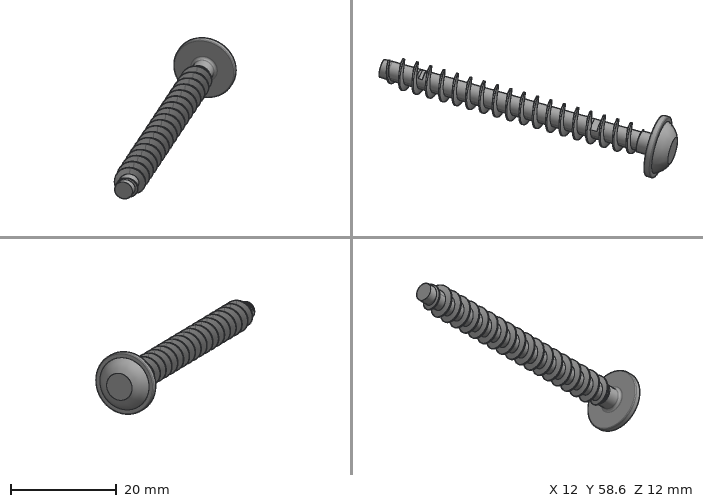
import cadquery as cq
import math

LENGTH = 58.6

FLANGE_DIAMETER = 12.0
FLANGE_RADIUS = FLANGE_DIAMETER / 2
FLANGE_TOP_DEPTH = 2.35
FLANGE_THICKNESS = 1.3
FLANGE_EDGE_ROUND = 0.2
DOME_BASE_RADIUS = 5.1
DOME_TOP_RADIUS = 2.65
DOME_BULGE = 0.25

SHANK_DIAMETER = 4.15
SHANK_RADIUS = SHANK_DIAMETER / 2
SHANK_END_DEPTH = 6.6
NECK_FILLET = 0.5
CORE_RADIUS = 1.8
TIP_RADIUS = 1.75
TIP_TAPER_LENGTH = 1.75

PITCH = 2.7
THREAD_RADIUS = 3.0
PHASE_DEPTH = 10.85
CREST_WIDTH = 0.3
ROOT_WIDTH = 0.8
THREAD_INNER_RADIUS = 1.0
THREAD_START_DEPTH = 6.0
THREAD_END_DEPTH = 58.0
START_RADIUS = 2.15
END_RADIUS = 1.75
LEAD_IN_LENGTH = 2.8
LEAD_OUT_LENGTH = 3.4
STEPS_PER_SPAN = 24

UPPER_RECESS_START = 14.75
UPPER_RECESS_FLAT_END = 16.3
UPPER_RECESS_FLOOR = 1.1
LOWER_RECESS_START = 50.1
LOWER_RECESS_FLAT_END = 50.85
LOWER_RECESS_FLOOR = 1.4


def make_body():
    """Revolve the head, shank and core as one outline."""
    flange_bottom = FLANGE_TOP_DEPTH + FLANGE_THICKNESS
    dome_middle = ((DOME_TOP_RADIUS + DOME_BASE_RADIUS) / 2 + DOME_BULGE,
                   -FLANGE_TOP_DEPTH / 2 + DOME_BULGE)
    neck_center = (SHANK_RADIUS + NECK_FILLET, -flange_bottom - NECK_FILLET)
    diagonal = NECK_FILLET * math.sqrt(0.5)
    return (
        cq.Workplane("XY")
        .moveTo(0, 0)
        .lineTo(DOME_TOP_RADIUS, 0)
        .threePointArc(dome_middle, (DOME_BASE_RADIUS, -FLANGE_TOP_DEPTH))
        .lineTo(FLANGE_RADIUS - FLANGE_EDGE_ROUND, -FLANGE_TOP_DEPTH)
        .radiusArc((FLANGE_RADIUS, -FLANGE_TOP_DEPTH - FLANGE_EDGE_ROUND), FLANGE_EDGE_ROUND)
        .lineTo(FLANGE_RADIUS, -flange_bottom + FLANGE_EDGE_ROUND)
        .radiusArc((FLANGE_RADIUS - FLANGE_EDGE_ROUND, -flange_bottom), FLANGE_EDGE_ROUND)
        .lineTo(neck_center[0], -flange_bottom)
        .threePointArc((neck_center[0] - diagonal, neck_center[1] + diagonal),
                       (SHANK_RADIUS, neck_center[1]))
        .lineTo(SHANK_RADIUS, -SHANK_END_DEPTH)
        .lineTo(CORE_RADIUS, -SHANK_END_DEPTH)
        .lineTo(CORE_RADIUS, -LENGTH + TIP_TAPER_LENGTH)
        .lineTo(TIP_RADIUS, -LENGTH)
        .lineTo(0, -LENGTH)
        .close()
        .revolve(360, (0, 0, 0), (0, 1, 0))
    )


def make_recess(start, flat_end, floor):
    """Cutter with a flat floor and a 45 degree ramp out toward the tip."""
    top = SHANK_RADIUS
    ramp_end = flat_end + top - floor
    return (
        cq.Workplane("YZ")
        .polyline([(-start, floor), (-flat_end, floor), (-ramp_end, top), (-start, top)])
        .close()
        .extrude(SHANK_RADIUS, both=True)
    )


def crest_radius(depth):
    """Thread radius, growing over the lead-in and shrinking over the lead-out."""
    lead_in = START_RADIUS + (THREAD_RADIUS - START_RADIUS) * (depth - THREAD_START_DEPTH) / LEAD_IN_LENGTH
    lead_out = END_RADIUS + (THREAD_RADIUS - END_RADIUS) * (THREAD_END_DEPTH - depth) / LEAD_OUT_LENGTH
    return min(lead_in, THREAD_RADIUS, lead_out)


def buried_radius(_depth):
    """Radius of the inner thread edge, the same at every depth."""
    return THREAD_INNER_RADIUS


def helix_edge(radius_at, axial_offset, start, end):
    """Spline along the thread between two depths, shifted along the axis by axial_offset."""
    points = []
    for step in range(STEPS_PER_SPAN + 1):
        depth = start + (end - start) * step / STEPS_PER_SPAN
        angle = 2 * math.pi * (depth - PHASE_DEPTH) / PITCH
        radius = radius_at(depth)
        points.append(cq.Vector(radius * math.cos(angle), -depth - axial_offset, radius * math.sin(angle)))
    return cq.Edge.makeSpline(points)


def thread_spans():
    """Depths that split the thread into the lead-in, about one span per turn, and the lead-out."""
    full_start = THREAD_START_DEPTH + LEAD_IN_LENGTH
    full_end = THREAD_END_DEPTH - LEAD_OUT_LENGTH
    turns = round((full_end - full_start) / PITCH)
    full_depths = [full_start + (full_end - full_start) * turn / turns for turn in range(turns + 1)]
    return [THREAD_START_DEPTH] + full_depths + [THREAD_END_DEPTH]


def make_thread():
    """Join helical faces and two end caps into a solid with a trapezoidal section."""
    flank_slope = (ROOT_WIDTH - CREST_WIDTH) / (THREAD_RADIUS - CORE_RADIUS)
    inner_width = CREST_WIDTH + flank_slope * (THREAD_RADIUS - THREAD_INNER_RADIUS)
    corners = [
        (buried_radius, -inner_width / 2),
        (crest_radius, -CREST_WIDTH / 2),
        (crest_radius, CREST_WIDTH / 2),
        (buried_radius, inner_width / 2),
    ]
    depths = thread_spans()
    faces = []
    caps = []
    for start, end in zip(depths, depths[1:]):
        edges = [helix_edge(radius_at, offset, start, end) for radius_at, offset in corners]
        faces += [cq.Face.makeRuledSurface(edges[i - 1], edges[i]) for i in range(len(edges))]
        caps.append([edge.startPoint() for edge in edges])
        caps.append([edge.endPoint() for edge in edges])
    for cap in (caps[0], caps[-1]):
        faces.append(cq.Face.makeFromWires(cq.Wire.makePolygon(cap, close=True)))
    thread = cq.Workplane(cq.Solid.makeSolid(cq.Shell.makeShell(faces)).fix())

    span = LENGTH - SHANK_END_DEPTH
    envelope = (
        cq.Workplane("XZ", origin=(0, -SHANK_END_DEPTH, 0))
        .circle(2 * THREAD_RADIUS)
        .extrude(span)
    )
    return thread.intersect(envelope)


upper_recess = make_recess(UPPER_RECESS_START, UPPER_RECESS_FLAT_END, UPPER_RECESS_FLOOR)
lower_recess = make_recess(LOWER_RECESS_START, LOWER_RECESS_FLAT_END, LOWER_RECESS_FLOOR)

result = make_body().cut(upper_recess).cut(lower_recess).union(make_thread())